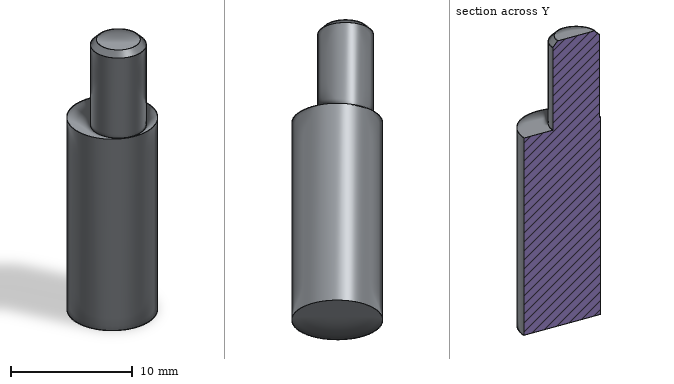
import cadquery as cq

total_height = 26.0
body_diameter = 7.5
body_height = 18.0

pin_diameter = 4.6
pin_offset_x = 1.35
pin_chamfer = 0.5
pin_height = total_height - body_height


def make_body():
    """Plain cylinder standing on the XY plane."""
    return cq.Workplane("XY").circle(body_diameter / 2).extrude(body_height)


def make_pin():
    """Pin shifted towards +X, with a chamfered tip."""
    return (
        cq.Workplane("XY", origin=(pin_offset_x, 0, body_height))
        .circle(pin_diameter / 2)
        .extrude(pin_height)
        .faces(">Z")
        .chamfer(pin_chamfer)
    )


result = make_body().union(make_pin())